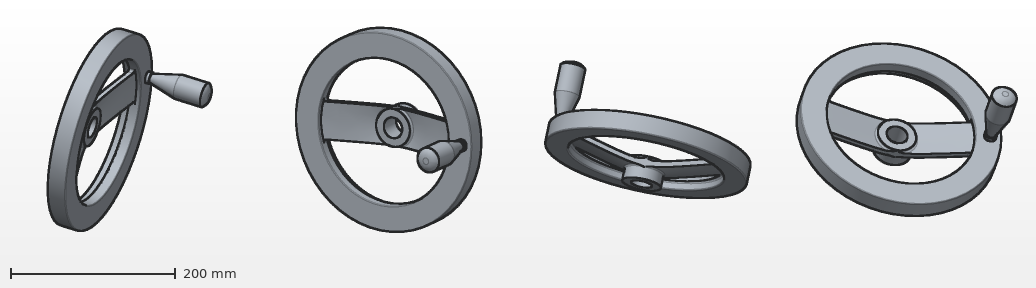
import cadquery as cq


overall_length = 133.96
overall_width = 251.15

rim_diameter = 250.0
rim_front = 26.6
rim_back = 51.0
rim_front_edge_radius = 1.5
rim_back_edge_radius = 1.0
recess_diameter = 192.62
rim_bore_diameter = 185.0

hub_diameter = 48.0
hub_back = 29.0
shaft_bore_diameter = 26.0

spoke_width = hub_diameter
window_corner_radius = 3.0
web_front_at_hub = 16.6
web_front_at_recess = 38.3
web_thickness = 7.6
hub_root_radius = 2.0
recess_root_radius = 2.2

neck_diameter = 14.88
neck_length = 5.2
taper_start_diameter = 12.0
taper_length = 36.8
grip_diameter = 31.0
dome_length = 5.6
dome_flat_diameter = 8.0

rim_radius = rim_diameter / 2
recess_radius = recess_diameter / 2
rim_bore_radius = rim_bore_diameter / 2
hub_radius = hub_diameter / 2
grip_radius = grip_diameter / 2
web_slope = (web_front_at_recess - web_front_at_hub) / (recess_radius - hub_radius)
web_back_at_hub = web_front_at_hub + web_thickness
web_back_at_bore = web_back_at_hub + web_slope * (rim_bore_radius - hub_radius)
handle_offset = overall_width - rim_radius - grip_radius
taper_start = rim_back + neck_length
grip_start = taper_start + taper_length
grip_end = overall_length - dome_length
dome_flat_radius = dome_flat_diameter / 2

length_tolerance = 0.001


def cylinder(length, radius):
    """Cylinder about the X axis, starting at x = 0."""
    return cq.Workplane("YZ").circle(radius).extrude(length)


def revolve_about_x(profile):
    """Turn a closed (x, radius) profile drawn on XY about the X axis."""
    return profile.revolve(360, (0, 0, 0), (1, 0, 0))


def round_circle(body, position, circle_radius, fillet_radius):
    """Fillet the circular edge about X that has the given x position and radius."""

    def matches(edge):
        same_position = abs(edge.Center().x - position) < length_tolerance
        same_radius = abs(edge.radius() - circle_radius) < length_tolerance
        return same_position and same_radius

    return body.edges("%CIRCLE").filter(matches).fillet(fillet_radius)


def make_wheel_body():
    """Hub, full conical web and rim as one turned body."""
    profile = (
        cq.Workplane("XY")
        .lineTo(0, hub_radius)
        .lineTo(web_front_at_hub, hub_radius)
        .lineTo(web_front_at_recess, recess_radius)
        .lineTo(rim_front, recess_radius)
        .lineTo(rim_front, rim_radius)
        .lineTo(rim_back, rim_radius)
        .lineTo(rim_back, rim_bore_radius)
        .lineTo(web_back_at_bore, rim_bore_radius)
        .lineTo(web_back_at_hub, hub_radius)
        .lineTo(hub_back, hub_radius)
        .lineTo(hub_back, 0)
        .close()
    )
    body = revolve_about_x(profile)
    rounded_circles = (
        (rim_front, rim_radius, rim_front_edge_radius),
        (rim_front, recess_radius, rim_front_edge_radius),
        (rim_back, rim_radius, rim_back_edge_radius),
        (rim_back, rim_bore_radius, rim_back_edge_radius),
        (web_front_at_hub, hub_radius, hub_root_radius),
        (web_back_at_hub, hub_radius, hub_root_radius),
        (web_front_at_recess, recess_radius, recess_root_radius),
    )
    for position, circle_radius, fillet_radius in rounded_circles:
        body = round_circle(body, position, circle_radius, fillet_radius)
    return body


def make_windows():
    """The two openings on either side of the spoke."""
    disc = cylinder(rim_back, rim_bore_radius)
    spoke = cq.Workplane("YZ").rect(rim_diameter, spoke_width).extrude(rim_back)
    return disc.cut(spoke).edges("|X").fillet(window_corner_radius)


def make_handle():
    """Crank handle on the back of the rim, with a domed end that has a small flat."""
    profile = (
        cq.Workplane("XY")
        .moveTo(rim_back, 0)
        .lineTo(overall_length, 0)
        .lineTo(overall_length, dome_flat_radius)
        .tangentArcPoint((grip_end, grip_radius), relative=False)
        .lineTo(grip_start, grip_radius)
        .lineTo(taper_start, taper_start_diameter / 2)
        .lineTo(taper_start, neck_diameter / 2)
        .lineTo(rim_back, neck_diameter / 2)
        .close()
    )
    return revolve_about_x(profile).translate((0, handle_offset, 0))


result = (
    make_wheel_body()
    .cut(make_windows())
    .cut(cylinder(hub_back, shaft_bore_diameter / 2))
    .union(make_handle())
)